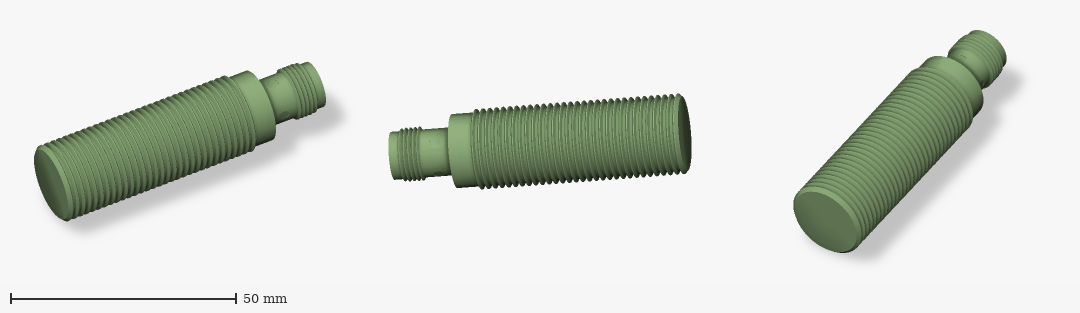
import cadquery as cq

TOTAL_LENGTH = 66.0
COLLAR_REAR = 52.0
COLLAR_FRONT = 50.05

SLEEVE_CREST_RADIUS = 18.0 / 2
SLEEVE_ROOT_RADIUS = 8.25
SLEEVE_CREST_COUNT = 31
SLEEVE_FIRST_CREST = 0.85
SLEEVE_LAST_CREST = 46.5
SLEEVE_CREST_FLAT = 0.2
SLEEVE_RIDGE_HALF_WIDTH = 0.475
SLEEVE_PITCH = (SLEEVE_LAST_CREST - SLEEVE_FIRST_CREST) / (SLEEVE_CREST_COUNT - 1)

CAP_RADIUS = 7.65
CAP_DEPTH = 2.0

CONNECTOR_RADIUS = 5.35
CONNECTOR_CREST_RADIUS = 6.0
CONNECTOR_LEAD_CREST_RADIUS = 5.9
CONNECTOR_CREST_COUNT = 5
CONNECTOR_CREST_FLAT = 0.1
CONNECTOR_RIDGE_HALF_WIDTH = 0.45
CONNECTOR_FIRST_CREST = 59.5
CONNECTOR_LAST_CREST = 63.6
CONNECTOR_PITCH = (CONNECTOR_LAST_CREST - CONNECTOR_FIRST_CREST) / (CONNECTOR_CREST_COUNT - 1)

WINDOW_COUNT = 4
WINDOW_RADIUS = 1.25
WINDOW_DEPTH = 0.65
WINDOW_Y = 55.6
WINDOW_FACE = (CONNECTOR_RADIUS**2 - WINDOW_RADIUS**2) ** 0.5


def cylinder(radius, start, end):
    """Solid cylinder on the Y axis between two places."""
    return cq.Workplane("XZ", origin=(0, start, 0)).circle(radius).extrude(start - end)


def revolved(outline):
    """Solid of revolution about the Y axis from (radius, Y) points."""
    return cq.Workplane("XY").polyline(outline).close().revolve(360, (0, 0, 0), (0, 1, 0))


def ridge(crest_y, crest_radius, root_radius, crest_flat, half_width):
    """Outline points of one flat-topped thread ridge, front to rear."""
    return [
        (root_radius, crest_y - half_width),
        (crest_radius, crest_y - crest_flat / 2),
        (crest_radius, crest_y + crest_flat / 2),
        (root_radius, crest_y + half_width),
    ]


def make_sleeve():
    """Sleeve with ring-shaped thread ridges, a chamfered front and a recess for the cap."""
    outline = [(0, 0)]
    for index in range(SLEEVE_CREST_COUNT):
        crest_y = SLEEVE_FIRST_CREST + index * SLEEVE_PITCH
        ridge_points = ridge(
            crest_y,
            SLEEVE_CREST_RADIUS,
            SLEEVE_ROOT_RADIUS,
            SLEEVE_CREST_FLAT,
            SLEEVE_RIDGE_HALF_WIDTH,
        )
        if index == 0:
            ridge_points[0] = (SLEEVE_ROOT_RADIUS, 0)
        outline += ridge_points
    outline += [(SLEEVE_ROOT_RADIUS, COLLAR_FRONT), (0, COLLAR_FRONT)]
    return revolved(outline).cut(make_cap())


def make_cap():
    """Flat disc that closes the front of the sleeve."""
    return cylinder(CAP_RADIUS, 0, CAP_DEPTH)


def make_collar():
    """Plain disc between the sleeve and the connector."""
    return cylinder(SLEEVE_ROOT_RADIUS, COLLAR_FRONT, COLLAR_REAR)


def make_window(index):
    """One flat-faced indicator disc; successive windows turn about the Y axis."""
    window = (
        cq.Workplane("XY", origin=(0, WINDOW_Y, WINDOW_FACE))
        .circle(WINDOW_RADIUS)
        .extrude(-WINDOW_DEPTH)
    )
    return window.rotate((0, 0, 0), (0, 1, 0), index * 360 / WINDOW_COUNT)


def make_window_hole(index):
    """Blind hole for one window, open through the connector surface."""
    hole = (
        cq.Workplane("XY", origin=(0, WINDOW_Y, WINDOW_FACE - WINDOW_DEPTH))
        .circle(WINDOW_RADIUS)
        .extrude(CONNECTOR_RADIUS)
    )
    return hole.rotate((0, 0, 0), (0, 1, 0), index * 360 / WINDOW_COUNT)


def make_connector():
    """Connector with thread ridges behind the windows; the rearmost ridge is lower."""
    outline = [(0, COLLAR_REAR), (CONNECTOR_RADIUS, COLLAR_REAR)]
    for index in range(CONNECTOR_CREST_COUNT):
        is_last = index == CONNECTOR_CREST_COUNT - 1
        crest_radius = CONNECTOR_LEAD_CREST_RADIUS if is_last else CONNECTOR_CREST_RADIUS
        crest_y = CONNECTOR_FIRST_CREST + index * CONNECTOR_PITCH
        outline += ridge(
            crest_y,
            crest_radius,
            CONNECTOR_RADIUS,
            CONNECTOR_CREST_FLAT,
            CONNECTOR_RIDGE_HALF_WIDTH,
        )
    outline += [(CONNECTOR_RADIUS, TOTAL_LENGTH), (0, TOTAL_LENGTH)]
    connector = revolved(outline)
    for index in range(WINDOW_COUNT):
        connector = connector.cut(make_window_hole(index))
    return connector


sleeve = make_sleeve()
cap = make_cap()
collar = make_collar()
connector = make_connector()
windows = [make_window(index) for index in range(WINDOW_COUNT)]

result = cq.Compound.makeCompound(
    [sleeve.val(), cap.val(), collar.val(), connector.val()] + [window.val() for window in windows]
)